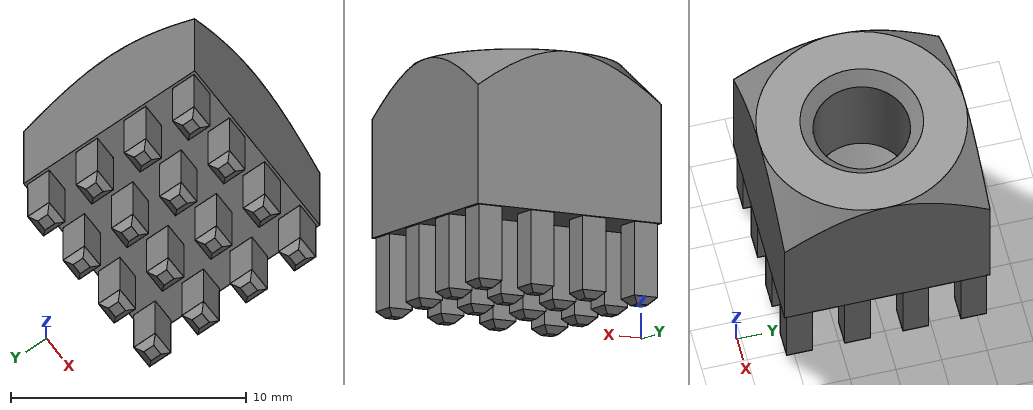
import cadquery as cq
import math

total_height = 10.5
body_width = 9.0
body_height = 7.0
pin_length = total_height - body_height

hole_diameter = 4.14
countersink_diameter = 5.25
countersink_depth = (countersink_diameter - hole_diameter) / 2
hole_depth = 5.0
drill_tip_angle = 118
drill_tip_depth = hole_diameter / 2 / math.tan(math.radians(drill_tip_angle / 2))

pin_count = 4
pin_pitch = 2.54
pin_width = 1.13
pin_tip_height = 0.3
pin_tip_width = pin_width - 2 * pin_tip_height


def make_body():
    """Square block whose top corners are cut by a 45 degree cone."""
    block = cq.Workplane("XY").rect(body_width, body_width).extrude(body_height)
    top_radius = body_width / 2
    base_radius = top_radius + body_height
    cone = (
        cq.Workplane("XZ")
        .polyline([(0, 0), (base_radius, 0), (top_radius, body_height), (0, body_height)])
        .close()
        .revolve(360, (0, 0), (0, 1))
    )
    return block.intersect(cone)


def make_hole():
    """Countersunk blind hole as a solid of revolution about Z."""
    hole_radius = hole_diameter / 2
    hole_bottom = body_height - hole_depth
    return (
        cq.Workplane("XZ")
        .moveTo(0, body_height)
        .lineTo(countersink_diameter / 2, body_height)
        .lineTo(hole_radius, body_height - countersink_depth)
        .lineTo(hole_radius, hole_bottom)
        .lineTo(0, hole_bottom - drill_tip_depth)
        .close()
        .revolve(360, (0, 0), (0, 1))
    )


def make_pin(x, y):
    """Square pin hanging below the body, tapered at its lower end."""
    shank_length = pin_length - pin_tip_height
    shank = cq.Workplane("XY").center(x, y).rect(pin_width, pin_width).extrude(-shank_length)
    tip = (
        cq.Workplane("XY", origin=(x, y, -shank_length))
        .rect(pin_width, pin_width)
        .workplane(offset=-pin_tip_height)
        .rect(pin_tip_width, pin_tip_width)
        .loft(ruled=True)
    )
    return shank.union(tip)


result = make_body().cut(make_hole())

first_pin = -pin_pitch * (pin_count - 1) / 2
for column in range(pin_count):
    for row in range(pin_count):
        result = result.union(make_pin(first_pin + column * pin_pitch, first_pin + row * pin_pitch))